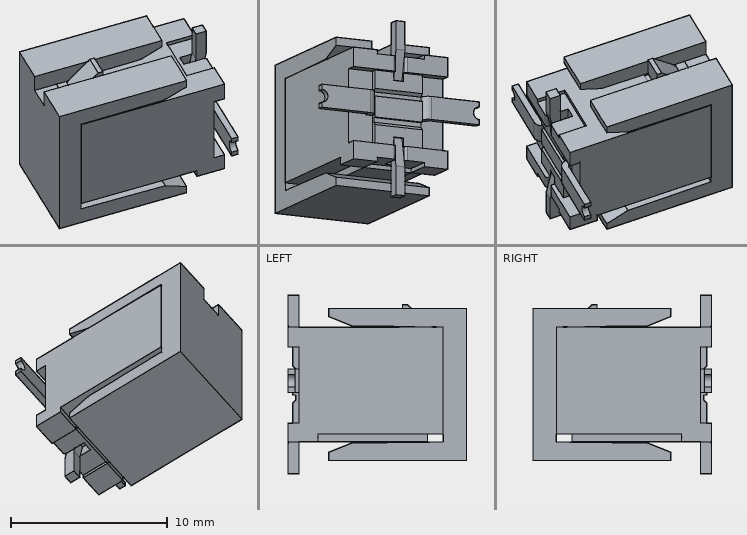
import cadquery as cq
import math


housing_width = 6.7
housing_height = 7.32
housing_length = 9.9
housing_top = housing_height / 2

recess_top = 2.38
recess_bottom = -2.46
recess_depth = 0.72
core_width = 3.35
core_setback = 0.3

groove_inner = 0.68
groove_outer = 0.99
groove_setback = 0.49
groove_lead_in = groove_setback - core_setback

foot_length = 1.92
relief_height = 0.49
rib_end = 8.91

pin_pocket_depth = 0.27
notch_width = 0.68
notch_length = 1.55
notch_corner_radius = 0.14

latch_width = 1.39
latch_height = 1.42
latch_back = 7.31
latch_top_length = 0.32
latch_ramp_end = 9.23
latch_root_radius = 0.4
latch_root_length = 0.25

cap_width = 6.62
cap_wall = 1.5
cap_arm_thickness = 1.2
cap_arm_tip_thickness = 0.54
cap_front = housing_length + cap_wall
cap_arm_end = 2.6
cap_lead_in_length = 1.48
cap_arm_gap = 0.07
cap_slot_width = 1.56
cap_top = housing_top + cap_arm_thickness

pin_width = 0.64
pin_thickness = 0.72
pin_reach = 5.7
pin_lean = 0.22
pin_front_bend = 3.53
pin_rear_bend = 3.82
pin_foot_top = 2.58
pin_foot_bottom = pin_foot_top - pin_thickness
pin_slope = pin_lean / (pin_front_bend - pin_foot_top)
pin_x = (notch_width - pin_width) / 2

tab_span = 11.2
tab_height = 1.5
tab_thickness = 0.45
tab_z = 0.24
tab_bend_radius = 0.05
tab_notch_radius = 0.41


def box(x_range, y_range, z_range):
    """Return a box between the given limits."""
    sides = [limits[1] - limits[0] for limits in (x_range, y_range, z_range)]
    corner = cq.Vector(x_range[0], y_range[0], z_range[0])
    return cq.Workplane(cq.Solid.makeBox(*sides, corner))


def centred(width):
    """Return the limits of a width centred on zero."""
    return -width / 2, width / 2


def across(points, width):
    """Extrude a closed (Y, Z) outline to a width centred on X = 0."""
    return cq.Workplane("YZ").polyline(points).close().extrude(width / 2, both=True)


def mirrored_z(body):
    """Return the body reflected in the Z = 0 plane."""
    return body.mirror("XY")


def core_groove():
    """Upper groove across the core, with a sloped lead-in on its outer side."""
    return across(
        [
            (0, groove_inner),
            (-groove_setback, groove_inner),
            (-groove_setback, groove_outer),
            (-core_setback, groove_outer + groove_lead_in),
            (0, groove_outer + groove_lead_in),
        ],
        core_width,
    )


def pin_seat():
    """Pocket in the housing top and the notch with rounded rear corners that takes the pin."""
    pocket = box(
        centred(core_width), (-foot_length, 0), (housing_top - pin_pocket_depth, housing_top)
    )
    half = notch_width / 2
    radius = notch_corner_radius
    notch = (
        cq.Workplane("XY", origin=(0, 0, pin_foot_bottom))
        .moveTo(-half - radius, 0)
        .radiusArc((-half, -radius), radius)
        .lineTo(-half, -notch_length)
        .lineTo(half, -notch_length)
        .lineTo(half, -radius)
        .radiusArc((half + radius, 0), radius)
        .close()
        .extrude(housing_top - pin_foot_bottom)
    )
    return pocket.union(notch)


def latch():
    """Ramp with a flat top and a rounded root behind it."""
    top = housing_top + latch_height
    radius = latch_root_radius
    root_height = radius - math.sqrt(radius**2 - latch_root_length**2)
    profile = (
        cq.Workplane("YZ")
        .moveTo(-latch_back + latch_root_length, housing_top)
        .radiusArc((-latch_back, housing_top + root_height), radius)
        .lineTo(-latch_back, top)
        .lineTo(-latch_back - latch_top_length, top)
        .lineTo(-latch_ramp_end, housing_top)
        .close()
    )
    return profile.extrude(latch_width / 2, both=True)


def make_housing():
    """Block with a recessed rear core, two pin seats, an underside rib and a latch on top."""
    half_width = housing_width / 2
    half_core = core_width / 2
    body = box(centred(housing_width), (-housing_length, 0), centred(housing_height))

    recess_z = (recess_bottom, recess_top)
    body = body.cut(box(centred(housing_width), (-core_setback, 0), recess_z))
    relief_z = (-housing_top, -housing_top + relief_height)
    for side in (centred(housing_width)[0], half_core):
        side_x = (side, side + half_width - half_core)
        body = body.cut(box(side_x, (-recess_depth, 0), recess_z))
        body = body.cut(box(side_x, (-housing_length, -foot_length), relief_z))

    body = body.cut(box(centred(core_width), (-housing_length, -rib_end), relief_z))

    for cutter in (core_groove(), pin_seat()):
        body = body.cut(cutter).cut(mirrored_z(cutter))
    return body.union(latch())


def make_cap():
    """U-shaped cap whose arms taper away from the housing, with a slot for the latch."""
    arm_inside = housing_top + cap_arm_gap
    arm_tip = cap_top - cap_arm_tip_thickness
    lead_in_end = cap_arm_end + cap_lead_in_length
    upper = [
        (-housing_length, housing_top),
        (-lead_in_end, arm_inside),
        (-cap_arm_end, arm_tip),
        (-cap_arm_end, cap_top),
        (-cap_front, cap_top),
    ]
    lower = [(y, -z) for y, z in reversed(upper)]
    body = across(upper + lower, cap_width)
    slot = box(centred(cap_slot_width), (-cap_front, -cap_arm_end), (housing_top, cap_top))
    return body.cut(slot)


def make_pin():
    """Upper pin, which leans toward -Y into its notch and ends in a foot along the notch floor."""
    profile = [
        (0, pin_reach),
        (-pin_thickness, pin_reach),
        (-pin_thickness, pin_front_bend),
        (-pin_thickness - pin_lean, pin_foot_top),
        (-notch_length, pin_foot_top),
        (-notch_length, pin_foot_bottom),
        (-pin_slope * (pin_rear_bend - pin_foot_bottom), pin_foot_bottom),
        (0, pin_rear_bend),
    ]
    return across(profile, pin_width).translate((pin_x, 0, 0))


def make_tab():
    """Tab on the +X side: a leg along the core, bent outward to a plate with a notched end."""
    leg_inside = core_width / 2
    leg_outside = leg_inside + tab_thickness
    outer_radius = tab_bend_radius + tab_thickness
    tip = tab_span / 2
    body = (
        cq.Workplane("XY", origin=(0, 0, tab_z))
        .moveTo(leg_inside, -recess_depth)
        .lineTo(leg_outside, -recess_depth)
        .lineTo(leg_outside, -outer_radius)
        .radiusArc((leg_outside + tab_bend_radius, -tab_thickness), tab_bend_radius)
        .lineTo(tip, -tab_thickness)
        .lineTo(tip, 0)
        .lineTo(leg_inside + outer_radius, 0)
        .radiusArc((leg_inside, -outer_radius), -outer_radius)
        .close()
        .extrude(tab_height / 2, both=True)
    )
    end_notch = (
        cq.Workplane("XZ", origin=(tip, 0, tab_z)).circle(tab_notch_radius).extrude(tab_thickness)
    )
    return body.cut(end_notch)


housing = make_housing()
cap = make_cap()
pins = [make_pin(), mirrored_z(make_pin())]
tabs = [make_tab(), make_tab().mirror("YZ")]

result = cq.Compound.makeCompound([body.val() for body in [housing, cap, *pins, *tabs]])